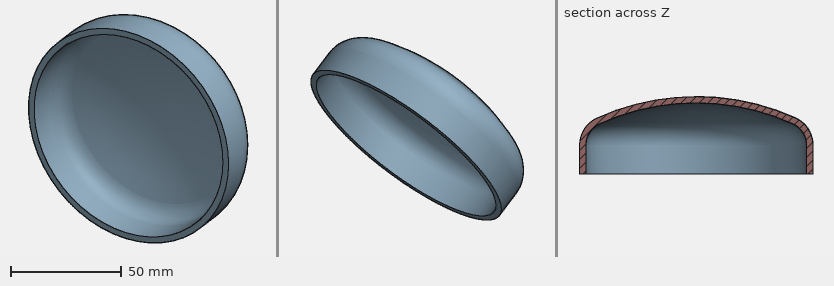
import cadquery as cq
import math

outer_diameter = 106.0
inner_diameter = 100.0
flange_length = 13.0
inner_crown_radius = outer_diameter
inner_knuckle_radius = outer_diameter / 10

wall = (outer_diameter - inner_diameter) / 2


def dished_solid(diameter, crown_radius, knuckle_radius):
    """Solid bounded by the rim plane, flange cylinder, knuckle torus and crown sphere."""
    flange_radius = diameter / 2
    knuckle_center_x = flange_radius - knuckle_radius
    center_distance = crown_radius - knuckle_radius
    crown_center_y = flange_length - math.sqrt(center_distance**2 - knuckle_center_x**2)

    crown_angle = math.asin(knuckle_center_x / center_distance)
    knuckle_mid_angle = (crown_angle + math.pi / 2) / 2

    def on_knuckle(angle):
        return (
            knuckle_center_x + knuckle_radius * math.sin(angle),
            flange_length + knuckle_radius * math.cos(angle),
        )

    def on_crown(angle):
        return (
            crown_radius * math.sin(angle),
            crown_center_y + crown_radius * math.cos(angle),
        )

    half_section = (
        cq.Workplane("XY")
        .lineTo(flange_radius, 0)
        .lineTo(flange_radius, flange_length)
        .threePointArc(on_knuckle(knuckle_mid_angle), on_knuckle(crown_angle))
        .threePointArc(on_crown(crown_angle / 2), on_crown(0))
        .close()
    )
    return half_section.revolve(360, (0, 0), (0, 1))


outer_body = dished_solid(
    outer_diameter, inner_crown_radius + wall, inner_knuckle_radius + wall
)
cavity = dished_solid(inner_diameter, inner_crown_radius, inner_knuckle_radius)

result = outer_body.cut(cavity)